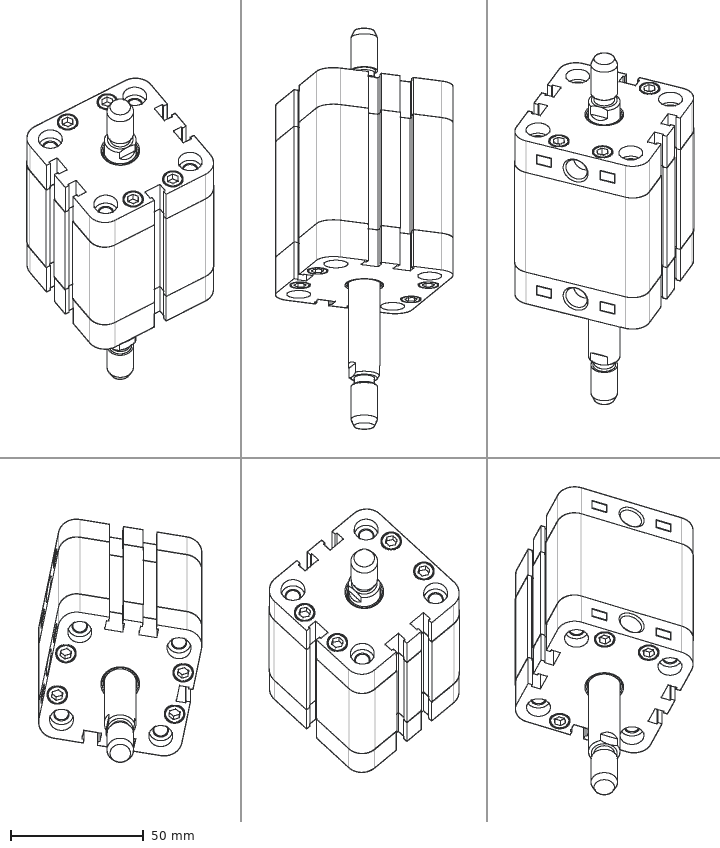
import cadquery as cq

width = 54.8
corner_radius = 6.9
joint_top = 38.2
joint_bottom = -7.8
cap_thickness = 14.6
cap_inset = 0.2
bore_diameter = 40.0
end_wall = 3.1

slot_offset = 6.5
slot_mouth = 5.3
slot_width = 6.8
slot_depth = 5.3
slot_lip = 1.7

mount_spacing = 38.0
counterbore_diameter = 9.0
counterbore_depth = 4.7
mount_hole_diameter = 5.2
mount_chamfer = 0.3
screw_x = 22.5
screw_y = 9.0
screw_seat_diameter = 7.7
screw_head_diameter = 6.9
screw_groove_depth = 0.6
hex_across_corners = 4.5
hex_depth = 2.8

port_diameter = 8.6
port_rim_diameter = 10.2
port_chamfer = 0.8
port_from_face = 8.0
label_width = 6.0
label_height = 4.1
label_depth = 0.3
label_y = 13.0
label_from_face = 7.4

rod_length = 157.0
rod_diameter = 12.0
thread_diameter = 10.0
thread_length = 15.7
tip_diameter = 7.7
tip_chamfer_length = 2.7
neck_diameter = 7.7
neck_end_diameter = 8.6
neck_taper_length = 0.8
neck_length = 3.3
shoulder_diameter = 9.7
shoulder_chamfer_length = 0.8
flat_across = 9.7
flat_length = 4.4

opening_diameter = 14.6
seal_seat_diameter = 13.7
seal_lip_diameter = 12.5
opening_chamfer_depth = 0.3
seal_lip_depth = 1.5

half_width = width / 2
cap_top = joint_top + cap_thickness
cap_bottom = joint_bottom - cap_thickness
housing_middle = (cap_top + cap_bottom) / 2
core_top = cap_top - end_wall
core_bottom = cap_bottom + end_wall


def cylinder(diameter, bottom, height, points=((0, 0),)):
    """Upright cylinders at the given XY points."""
    return cq.Workplane("XY", (0, 0, bottom)).pushPoints(points).circle(diameter / 2).extrude(height)


def undercut_slot(bottom, height, widening=0.0):
    """T-shaped slot whose mouth opens on the +Y side, on the housing axis.

    The widening is added to the wall on the +X side.
    """
    floor_y = half_width - slot_depth
    lip_y = half_width - slot_lip
    mouth = (
        cq.Workplane("XY", (0, 0, bottom))
        .center(0, (floor_y + half_width) / 2)
        .rect(slot_mouth, slot_depth)
        .extrude(height)
    )
    chamber = (
        cq.Workplane("XY", (widening / 2, 0, bottom))
        .center(0, (floor_y + lip_y) / 2)
        .rect(slot_width + widening, lip_y - floor_y)
        .extrude(height)
    )
    return mouth.union(chamber)


def housing_block(bottom, height, inset=0.0):
    """Rounded square length of the housing with its five slots."""
    block = (
        cq.Workplane("XY", (0, 0, bottom))
        .rect(width, width - 2 * inset)
        .extrude(height)
        .edges("|Z")
        .fillet(corner_radius)
    )
    side_slot = undercut_slot(bottom, height, inset).translate((slot_offset, -inset, 0))
    for slot in (side_slot, side_slot.mirror("YZ")):
        block = block.cut(slot).cut(slot.mirror("XZ"))
    end_slot = undercut_slot(bottom, height).rotate((0, 0, 0), (0, 0, 1), -90)
    return block.cut(end_slot)


def make_barrel():
    length = joint_top - joint_bottom
    return housing_block(joint_bottom, length).cut(cylinder(bore_diameter, joint_bottom, length))


def cut_mounting_holes(cap):
    half = mount_spacing / 2
    points = [(x, y) for x in (-half, half) for y in (-half, half)]
    floor = cap_top - counterbore_depth
    cap = cap.cut(cylinder(counterbore_diameter, floor, counterbore_depth, points))
    hole = (
        cq.Workplane("XZ")
        .moveTo(0, joint_top)
        .lineTo(mount_hole_diameter / 2, joint_top)
        .lineTo(mount_hole_diameter / 2, floor - mount_chamfer)
        .lineTo(mount_hole_diameter / 2 + mount_chamfer, floor)
        .lineTo(0, floor)
        .close()
        .revolve(360, (0, 0, 0), (0, 1, 0))
    )
    for x, y in points:
        cap = cap.cut(hole.translate((x, y, 0)))
    return cap


def cut_screw_heads(cap):
    """Ring groove and hexagon socket of the four flush screw heads."""
    points = [(x, y) for x in (-screw_x, screw_x) for y in (-screw_y, screw_y)]
    groove = (
        cq.Workplane("XY", (0, 0, cap_top))
        .pushPoints(points)
        .circle(screw_seat_diameter / 2)
        .circle(screw_head_diameter / 2)
        .extrude(-screw_groove_depth)
    )
    socket = (
        cq.Workplane("XY", (0, 0, cap_top))
        .polygon(6, hex_across_corners)
        .extrude(-hex_depth)
        .rotate((0, 0, 0), (0, 0, 1), 90)
    )
    cap = cap.cut(groove)
    for x, y in points:
        cap = cap.cut(socket.translate((x, y, 0)))
    return cap


def cut_rod_opening(cap):
    """Stepped opening, from inside out: rod guide, seal lip clearance, outer countersink."""
    lip_z = cap_top - seal_lip_depth
    seat_z = cap_top - opening_chamfer_depth
    opening = (
        cq.Workplane("XZ")
        .moveTo(0, core_top)
        .lineTo(rod_diameter / 2, core_top)
        .lineTo(rod_diameter / 2, lip_z)
        .lineTo(seal_lip_diameter / 2, lip_z)
        .lineTo(seal_lip_diameter / 2, seat_z)
        .lineTo(seal_seat_diameter / 2, seat_z)
        .lineTo(opening_diameter / 2, cap_top)
        .lineTo(0, cap_top)
        .close()
        .revolve(360, (0, 0, 0), (0, 1, 0))
    )
    return cap.cut(opening)


def cut_port(cap):
    """Countersunk port that reaches the core."""
    profile = (
        cq.Workplane("XY", (0, 0, cap_top - port_from_face))
        .moveTo(-half_width, 0)
        .lineTo(-half_width, port_rim_diameter / 2)
        .lineTo(-half_width + port_chamfer, port_diameter / 2)
        .lineTo(0, port_diameter / 2)
        .lineTo(0, 0)
        .close()
    )
    return cap.cut(profile.revolve(360, (0, 0, 0), (1, 0, 0)))


def cut_labels(cap):
    labels = (
        cq.Workplane("YZ", (-half_width, 0, cap_top - label_from_face))
        .pushPoints([(-label_y, 0), (label_y, 0)])
        .rect(label_width, label_height)
        .extrude(label_depth)
    )
    return cap.cut(labels)


def make_cap():
    """Top cap; the bottom cap is its mirror image."""
    cap = housing_block(joint_top, cap_thickness, cap_inset)
    cap = cap.cut(cylinder(bore_diameter, joint_top, core_top - joint_top))
    cap = cut_mounting_holes(cap)
    cap = cut_screw_heads(cap)
    cap = cut_rod_opening(cap)
    cap = cut_port(cap)
    return cut_labels(cap)


def make_core():
    """Cylinder that fills the bore and holds the rod."""
    length = core_top - core_bottom
    return cylinder(bore_diameter, core_bottom, length).cut(cylinder(rod_diameter, core_bottom, length))


def make_rod_half():
    """Upper half of the rod, from its middle to the threaded tip."""
    tip_z = rod_length / 2
    thread_z = tip_z - thread_length
    shoulder_z = thread_z - neck_length
    half = (
        cq.Workplane("XZ")
        .moveTo(0, 0)
        .lineTo(rod_diameter / 2, 0)
        .lineTo(rod_diameter / 2, shoulder_z - shoulder_chamfer_length)
        .lineTo(shoulder_diameter / 2, shoulder_z)
        .lineTo(neck_diameter / 2, shoulder_z)
        .lineTo(neck_diameter / 2, thread_z - neck_taper_length)
        .lineTo(neck_end_diameter / 2, thread_z)
        .lineTo(thread_diameter / 2, thread_z)
        .lineTo(thread_diameter / 2, tip_z - tip_chamfer_length)
        .lineTo(tip_diameter / 2, tip_z)
        .lineTo(0, tip_z)
        .close()
        .revolve(360, (0, 0, 0), (0, 1, 0))
    )
    depth = (rod_diameter - flat_across) / 2
    flat_z = shoulder_z - flat_length
    flat = (
        cq.Workplane("XZ")
        .moveTo(flat_across / 2, shoulder_z)
        .lineTo(flat_across / 2, flat_z)
        .lineTo(rod_diameter / 2, flat_z - depth)
        .lineTo(rod_diameter / 2, shoulder_z)
        .close()
        .extrude(rod_diameter / 2, both=True)
    )
    return half.cut(flat).cut(flat.mirror("YZ"))


def make_rod():
    half = make_rod_half()
    return half.union(half.mirror("XY"))


barrel = make_barrel()
top_cap = make_cap()
bottom_cap = top_cap.mirror("XY", (0, 0, housing_middle))
core = make_core()
rod = make_rod()

result = cq.Compound.makeCompound([barrel.val(), top_cap.val(), bottom_cap.val(), core.val(), rod.val()])